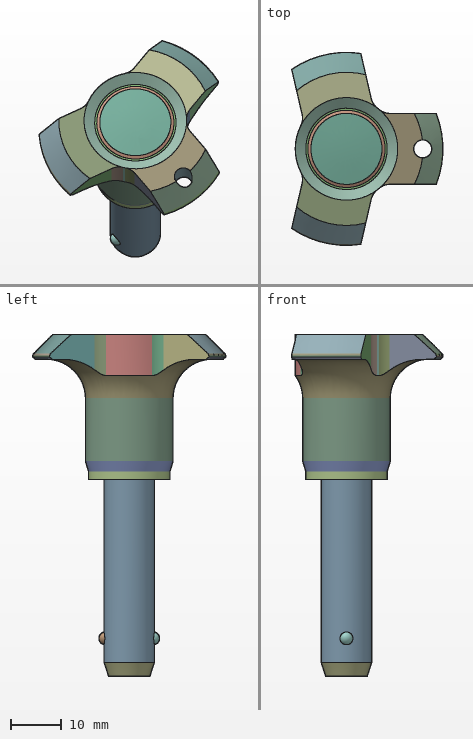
import cadquery as cq
import math

TOTAL_HEIGHT = 67.3
PIN_TAPER_HEIGHT = 2.7
COLLAR_BOTTOM = 38.7
COLLAR_TOP = 40.3
SLEEVE_BOTTOM = 42.3
SLEEVE_TOP = 54.7
HANDLE_BOTTOM = 62.4

PIN_RADIUS = 5.0
PIN_TIP_RADIUS = 4.1
COLLAR_RADIUS = 16.1 / 2
SLEEVE_RADIUS = 17.3 / 2

RIM_RADIUS = 38.0 / 2
TOP_FACE_RADIUS = 15.1
RIM_CHAMFER = 0.5
RIM_LAND_HEIGHT = 0.3
RIM_ROUND_DROP = 0.4
HUB_RADIUS = 10.1
ARM_WIDTH = 14.0
ARM_ANGLES = (0, 103, -103)
ARM_FILLET = 3.2

BALL_RADIUS = 1.3
BALL_OFFSET = 4.7
BALL_HEIGHT = 7.5

HOLE_DIAMETER = 3.5
HOLE_OFFSET = 15.0

DISH_DEPTH = 1.2
DISH_FLOOR_RADIUS = 8.0
BUTTON_RADIUS = 7.6
BUTTON_DOME_RADIUS = 7.0
BUTTON_EDGE_HEIGHT = 0.3
BUTTON_DOME_RISE = 0.35


def revolve_about_z(profile):
    return profile.close().revolve(360, (0, 0, 0), (0, 1, 0))


def make_turned_body():
    """Pin, sleeve, flared neck and full round handle in one revolved profile."""
    flare_radius = HANDLE_BOTTOM - SLEEVE_TOP
    flare_center = SLEEVE_RADIUS + flare_radius
    diagonal = flare_radius * math.sqrt(0.5)
    land_bottom = HANDLE_BOTTOM + RIM_CHAMFER
    land_top = land_bottom + RIM_LAND_HEIGHT
    cone_bottom = land_top + RIM_ROUND_DROP
    cone_bottom_radius = TOP_FACE_RADIUS + TOTAL_HEIGHT - cone_bottom
    profile = (
        cq.Workplane("XZ")
        .moveTo(0, 0)
        .lineTo(PIN_TIP_RADIUS, 0)
        .lineTo(PIN_RADIUS, PIN_TAPER_HEIGHT)
        .lineTo(PIN_RADIUS, COLLAR_BOTTOM)
        .lineTo(COLLAR_RADIUS, COLLAR_BOTTOM)
        .lineTo(COLLAR_RADIUS, COLLAR_TOP)
        .lineTo(SLEEVE_RADIUS, SLEEVE_BOTTOM)
        .lineTo(SLEEVE_RADIUS, SLEEVE_TOP)
        .threePointArc(
            (flare_center - diagonal, SLEEVE_TOP + diagonal),
            (flare_center, HANDLE_BOTTOM),
        )
        .lineTo(RIM_RADIUS - RIM_CHAMFER, HANDLE_BOTTOM)
        .lineTo(RIM_RADIUS, land_bottom)
        .lineTo(RIM_RADIUS, land_top)
        .tangentArcPoint((cone_bottom_radius, cone_bottom), relative=False)
        .lineTo(TOP_FACE_RADIUS, TOTAL_HEIGHT)
        .lineTo(0, TOTAL_HEIGHT)
    )
    return revolve_about_z(profile)


def make_arm_plan():
    """Upright prism of the hub and three arms, filleted where they meet."""
    prism = cq.Workplane("XY").circle(HUB_RADIUS).extrude(TOTAL_HEIGHT)
    arm_length = RIM_RADIUS + ARM_WIDTH
    for angle in ARM_ANGLES:
        arm = (
            cq.Workplane("XY")
            .center(arm_length / 2, 0)
            .rect(arm_length, ARM_WIDTH)
            .extrude(TOTAL_HEIGHT)
            .rotate((0, 0, 0), (0, 0, 1), angle)
        )
        prism = prism.union(arm)
    box_half = HUB_RADIUS
    selector = cq.selectors.BoxSelector(
        (-box_half, -box_half, 0), (box_half, box_half, TOTAL_HEIGHT)
    )
    return prism.edges("|Z").edges(selector).fillet(ARM_FILLET)


def make_dish():
    """Conical recess in the top that leaves the domed button standing."""
    floor = TOTAL_HEIGHT - DISH_DEPTH
    button_edge = floor + BUTTON_EDGE_HEIGHT
    dome_top = button_edge + BUTTON_DOME_RISE
    dome_radius = (BUTTON_DOME_RADIUS**2 + BUTTON_DOME_RISE**2) / (2 * BUTTON_DOME_RISE)
    dome_mid = BUTTON_DOME_RADIUS / 2
    dome_mid_height = dome_top - dome_radius + math.sqrt(dome_radius**2 - dome_mid**2)
    profile = (
        cq.Workplane("XZ")
        .moveTo(0, TOTAL_HEIGHT)
        .lineTo(HUB_RADIUS, TOTAL_HEIGHT)
        .lineTo(DISH_FLOOR_RADIUS, floor)
        .lineTo(BUTTON_RADIUS, floor)
        .lineTo(BUTTON_DOME_RADIUS, button_edge)
        .threePointArc((dome_mid, dome_mid_height), (0, dome_top))
    )
    return revolve_about_z(profile)


def make_lanyard_hole():
    return (
        cq.Workplane("XY")
        .center(HOLE_OFFSET, 0)
        .circle(HOLE_DIAMETER / 2)
        .extrude(TOTAL_HEIGHT)
    )


result = make_turned_body().intersect(make_arm_plan())
result = result.cut(make_dish()).cut(make_lanyard_hole())
for side in (-1, 1):
    ball = cq.Workplane("XY").sphere(BALL_RADIUS).translate((0, side * BALL_OFFSET, BALL_HEIGHT))
    result = result.union(ball)